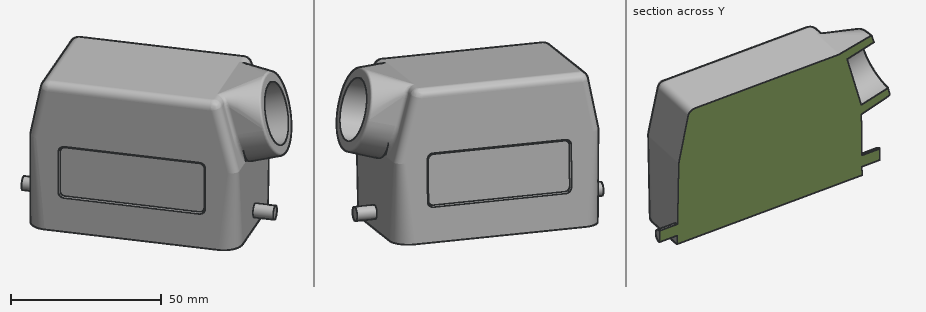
import cadquery as cq
import math

overall_length = 90.9

base_length = 73.1
base_width = 43.0
base_corner_radius = 6.55
body_height = 53.0
side_draft = 0.93
top_width = base_width - 2 * body_height * math.tan(math.radians(side_draft))
upper_corner_radius = 3.0
left_knee_radius = 2.7
top_edge_radius = 2.9

pin_diameter = 4.8
pin_span = 86.9
pin_center_z = 5.9

entry_tilt = 15.0
entry_mouth_z = 42.2
entry_mouth_radius = 14.2
entry_root_radius = 14.7
entry_root_rise = 14.8
entry_length = 14.55
entry_mouth_round = 0.8
entry_root_round = 1.4
entry_bore_diameter = 21.4
entry_bore_depth = 10.9
entry_lip_reach = (
    (entry_mouth_radius - entry_mouth_round) * math.sin(math.radians(entry_tilt))
    + entry_mouth_round * (1 - math.cos(math.radians(entry_tilt)))
)
entry_mouth_x = overall_length - pin_span / 2 - entry_lip_reach

left_knee = (-35.9, 32.9)
left_top = (-31.8, body_height)
right_knee = (36.3, 28.1)
right_slope_rise = body_height - right_knee[1]
right_top = (right_knee[0] - right_slope_rise * math.tan(math.radians(entry_tilt)), body_height)

recess_length = 50.8
recess_height = 18.6
recess_center_z = 21.55
recess_corner_radius = 2.2
recess_depth = 0.55
recess_wall_taper = 45.0

entry_plane = cq.Plane(
    origin=(entry_mouth_x, 0, entry_mouth_z),
    xDir=(0, 1, 0),
    normal=(math.cos(math.radians(entry_tilt)), 0, math.sin(math.radians(entry_tilt))),
)


def foot_of_line(knee, top):
    """Point at rim height on the straight line through a knee and its top point."""
    lean = (top[0] - knee[0]) / (top[1] - knee[1])
    return (knee[0] - lean * knee[1], 0)


def make_upper_body():
    """Block with sloped ends and rounded edges, kept above the slanted plane through both knees."""
    foot_points = [foot_of_line(left_knee, left_top), foot_of_line(right_knee, right_top)]
    long_profile = (
        cq.Workplane("XZ")
        .polyline(foot_points + [right_top, left_top]).close()
        .extrude(base_width, both=True)
    )
    cross_profile = (
        cq.Workplane("YZ")
        .polyline([
            (-base_width / 2, 0),
            (base_width / 2, 0),
            (top_width / 2, body_height),
            (-top_width / 2, body_height),
        ]).close()
        .extrude(base_length, both=True)
    )
    block = long_profile.intersect(cross_profile)
    block = block.edges("not(#Z)").fillet(upper_corner_radius)
    block = block.faces(">Z").edges().fillet(top_edge_radius)

    above_knees = (
        cq.Workplane("XZ")
        .polyline([left_knee, right_knee, right_top, left_top]).close()
        .extrude(base_width, both=True)
    )
    return block.intersect(above_knees)


def make_body():
    """Upper block plus a straight-sided loft whose corner rounding grows down to the rim."""
    upper_body = make_upper_body()
    knee_wire = upper_body.faces("<Z").wires().val()
    rim = cq.Sketch().rect(base_length, base_width).vertices().fillet(base_corner_radius)
    rim_wire = cq.Workplane().placeSketch(rim).extrude(0.9).faces("<Z").wires().val()
    lower_body = cq.Solid.makeLoft([rim_wire, knee_wire], True)
    body = upper_body.union(cq.Workplane(lower_body))

    left_knee_edges = cq.selectors.BoxSelector(
        (left_knee[0] - left_knee_radius, -base_width, left_knee[1] - left_knee_radius),
        (left_knee[0] + left_knee_radius, base_width, left_knee[1] + left_knee_radius),
    )
    return body.edges(left_knee_edges).fillet(left_knee_radius)


def entry_point(across, up, depth):
    """Point given sideways, up the mouth, and inward from the mouth plane."""
    return entry_plane.toWorldCoords((across, up, -depth))


def flat_face(*corners):
    return cq.Face.makeFromWires(cq.Wire.makePolygon(corners, close=True))


def cone_face(arc, apex):
    """Oblique cone surface from an arc to a point."""
    return cq.occ_impl.shapes.loft(arc, cq.Vertex.makeVertex(*apex.toTuple()), ruled=True)


def lower_arc(radius, depth):
    """Half circle below the entry axis, from left to right."""
    return cq.Edge.makeThreePointArc(
        entry_point(-radius, 0, depth),
        entry_point(0, -radius, depth),
        entry_point(radius, 0, depth),
    )


def make_entry():
    """Solid from a round mouth to a root that is square above and round below."""
    mouth_top = entry_point(0, entry_mouth_radius, 0)
    mouth_arcs = [lower_arc(entry_mouth_radius, 0)]
    root_corners = []
    upper_faces = []
    diagonal = entry_mouth_radius * math.cos(math.radians(45))

    for side in (-1, 1):
        root_corner = entry_point(side * entry_root_radius, entry_root_rise, entry_length)
        root_side = entry_point(side * entry_root_radius, 0, entry_length)
        mouth_side = entry_point(side * entry_mouth_radius, 0, 0)
        quarter_middle = entry_point(side * diagonal, diagonal, 0)
        quarter = cq.Edge.makeThreePointArc(mouth_side, quarter_middle, mouth_top)
        upper_faces.append(flat_face(root_corner, root_side, mouth_side))
        upper_faces.append(cone_face(quarter, root_corner))
        mouth_arcs.append(quarter)
        root_corners.append(root_corner)

    left_corner, right_corner = root_corners
    upper_faces.append(flat_face(left_corner, right_corner, mouth_top))

    root_arc = lower_arc(entry_root_radius, entry_length)
    root_outline = cq.Wire.assembleEdges([
        root_arc,
        cq.Edge.makeLine(root_arc.endPoint(), right_corner),
        cq.Edge.makeLine(right_corner, left_corner),
        cq.Edge.makeLine(left_corner, root_arc.startPoint()),
    ])
    mouth_face = cq.Face.makeFromWires(cq.Wire.combine(mouth_arcs)[0])
    root_face = cq.Face.makeFromWires(root_outline)
    lower_face = cq.Face.makeRuledSurface(root_arc, mouth_arcs[0])
    shell = cq.Shell.makeShell([mouth_face, root_face, lower_face] + upper_faces)
    entry = cq.Workplane(cq.Solid.makeSolid(shell).fix())

    mouth_selector = cq.selectors.DirectionNthSelector(entry_plane.zDir, -1)
    return entry.faces(mouth_selector).edges().fillet(entry_mouth_round)


def round_entry_root(hood):
    """Blend the flat sides of the entry, and the round below them, into the right-hand slope."""
    slope_middle_x = (right_knee[0] + right_top[0]) / 2
    slope_middle_z = (right_knee[1] + right_top[1]) / 2
    pick_margin = entry_root_round
    reach = entry_root_radius + pick_margin
    side_edges = cq.selectors.BoxSelector(
        (slope_middle_x - pick_margin, -reach, slope_middle_z),
        (slope_middle_x + pick_margin, reach, body_height),
    )
    return hood.edges(side_edges).fillet(entry_root_round)


def make_bore():
    return cq.Workplane(entry_plane).circle(entry_bore_diameter / 2).extrude(-entry_bore_depth)


def make_pins():
    return (
        cq.Workplane("YZ")
        .center(0, pin_center_z)
        .circle(pin_diameter / 2)
        .extrude(pin_span / 2, both=True)
    )


def make_recess():
    """Shallow rounded rectangle with sloping walls, sunk into the drafted -Y wall."""
    draft = math.radians(side_draft)
    wall_y = base_width / 2 - recess_center_z * math.tan(draft)
    wall_plane = cq.Plane(
        origin=(0, -wall_y, recess_center_z),
        xDir=(1, 0, 0),
        normal=(0, -math.cos(draft), math.sin(draft)),
    )
    outline = cq.Sketch().rect(recess_length, recess_height).vertices().fillet(recess_corner_radius)
    return (
        cq.Workplane(wall_plane)
        .placeSketch(outline)
        .extrude(-recess_depth, taper=recess_wall_taper)
    )


hood = round_entry_root(make_body().union(make_entry()))
recess = make_recess()
result = (
    hood
    .union(make_pins())
    .cut(make_bore())
    .cut(recess)
    .cut(recess.mirror("XZ"))
)